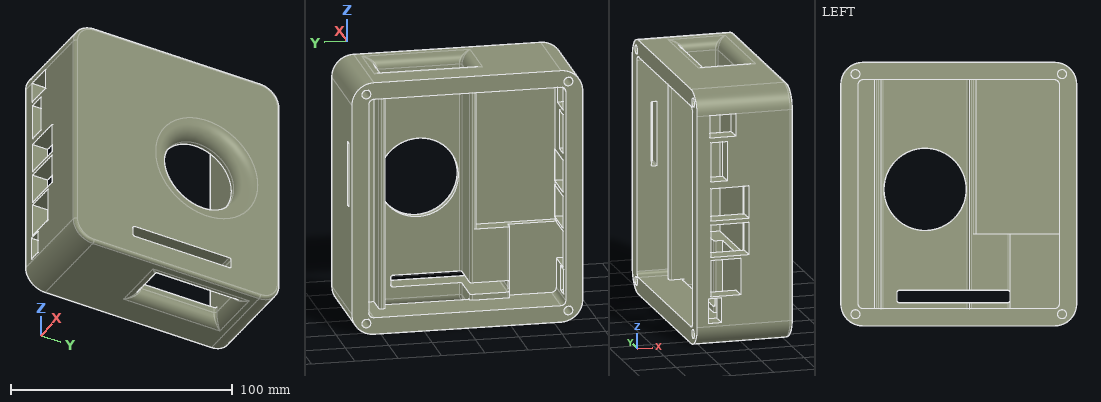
import cadquery as cq
import math

DEPTH = 45.0
WIDTH = 106.5
HEIGHT = 119.0
CORNER_RADIUS = 10.1
BACK_FILLET = 1.4

WALL = 7.9
CAVITY_RADIUS = CORNER_RADIUS - WALL
CAVITY_MAX_Y = WIDTH / 2 - WALL
CAVITY_MAX_Z = HEIGHT / 2 - WALL
POCKET_FLOOR = 23.7
SHALLOW_FLOOR = 20.5

DUCT_FLOOR = 34.9
DUCT_MIN_Y = -4.8
DUCT_MAX_Y = 35.1
DUCT_WALL = 3.0
ROUNDING = 1.0
TALL_WALL_TIP = 12.3
SHORT_WALL_TIP = 16.4

BLOCK_MAX_Z = -18.1
BLOCK_MIN_Y = -23.2

VENT_MIN_X = 18.1
VENT_FLARE = 5.0

OPENING_DIAMETER = 37.0
OPENING_Y = (DUCT_MIN_Y + DUCT_MAX_Y) / 2
OPENING_Z = 2.1
OPENING_FLARE = 8.0
CABLE_SLOT_LENGTH = 50.9
CABLE_SLOT_HEIGHT = 5.5
CABLE_SLOT_Y = 2.4
CABLE_SLOT_Z = -46.2

SCREW_DIAMETER = 4.0
SCREW_DEPTH = 11.9
SCREW_INSET_Y = 6.7
SCREW_INSET_Z = 5.4

CARD_SLOT_MIN_X = 6.8
CARD_SLOT_MAX_X = 9.5
CARD_SLOT_MIN_Z = -0.6
CARD_SLOT_MAX_Z = 29.5
CARD_SLOT_RADIUS = 0.5

WINDOWS = [
    (6.0, 18.2, 38.9, HEIGHT / 2 - CORNER_RADIUS),
    (6.4, 14.2, 18.3, 36.7),
    (6.4, 24.3, 0.0, 15.1),
    (6.4, 24.3, -17.0, -1.9),
    (6.4, SHALLOW_FLOOR, -35.5, -18.5),
    (5.4, 11.4, -47.8, -36.3),
]


def box(min_x, max_x, min_y, max_y, min_z, max_z):
    """Axis-aligned box given by its limits."""
    size = (max_x - min_x, max_y - min_y, max_z - min_z)
    return cq.Workplane("XY").box(*size, centered=False).translate((min_x, min_y, min_z))


def full_height_box(min_x, max_x, min_y, max_y):
    """Box that spans the whole height of the cavity."""
    return box(min_x, max_x, min_y, max_y, -CAVITY_MAX_Z, CAVITY_MAX_Z)


def arc_inset(radius):
    """Distance from a quarter round's middle to either of the two faces it is tangent to."""
    return radius * (1 - math.cos(math.pi / 4))


def outer_body():
    body = cq.Workplane("YZ").rect(WIDTH, HEIGHT).extrude(DEPTH)
    return body.edges("|X").fillet(CORNER_RADIUS).faces(">X").edges().fillet(BACK_FILLET)


def cavity():
    """Stepped space behind the rim: everything between the walls, duct and block."""
    deepest = cq.Workplane("YZ").rect(2 * CAVITY_MAX_Y, 2 * CAVITY_MAX_Z).extrude(DUCT_FLOOR)
    space = deepest.edges("|X").fillet(CAVITY_RADIUS)

    tall_wall_outer_y = DUCT_MAX_Y + DUCT_WALL
    short_wall_outer_y = DUCT_MIN_Y - DUCT_WALL

    duct = full_height_box(0, DUCT_FLOOR, DUCT_MIN_Y, DUCT_MAX_Y)
    duct = duct.edges("|Z and >X").fillet(ROUNDING)

    tall_side = full_height_box(TALL_WALL_TIP, DEPTH, DUCT_MAX_Y, tall_wall_outer_y)
    short_side = full_height_box(SHORT_WALL_TIP, DEPTH, short_wall_outer_y, DUCT_MIN_Y)
    block = box(SHORT_WALL_TIP, DEPTH, BLOCK_MIN_Y, DUCT_MIN_Y, -CAVITY_MAX_Z, BLOCK_MAX_Z)
    tall_side, short_side, block = (
        solid.edges("|Z and <X").fillet(ROUNDING) for solid in (tall_side, short_side, block)
    )
    duct_base = full_height_box(POCKET_FLOOR, DEPTH, DUCT_MIN_Y, DUCT_MAX_Y).cut(duct)

    side_base = full_height_box(POCKET_FLOOR, DEPTH, tall_wall_outer_y, CAVITY_MAX_Y)
    pocket_base = full_height_box(POCKET_FLOOR, DEPTH, -CAVITY_MAX_Y, short_wall_outer_y)
    shallow_base = box(SHALLOW_FLOOR, DEPTH, -CAVITY_MAX_Y, BLOCK_MIN_Y, -CAVITY_MAX_Z, BLOCK_MAX_Z)

    for solid in (tall_side, short_side, block, duct_base, side_base, pocket_base, shallow_base):
        space = space.cut(solid)
    return space


def flared_profile(plane, middle, width, length):
    """Passage along Z that widens with quarter-round flares at both ends."""
    half = width / 2
    flare_start = HEIGHT / 2 - VENT_FLARE
    end_half = half + VENT_FLARE
    inset = arc_inset(VENT_FLARE)
    mid_half = half + inset
    mid_z = HEIGHT / 2 - inset
    return (
        cq.Workplane(plane)
        .center(middle, 0)
        .moveTo(half, -flare_start)
        .lineTo(half, flare_start)
        .threePointArc((mid_half, mid_z), (end_half, HEIGHT / 2))
        .lineTo(-end_half, HEIGHT / 2)
        .threePointArc((-mid_half, mid_z), (-half, flare_start))
        .lineTo(-half, -flare_start)
        .threePointArc((-mid_half, -mid_z), (-end_half, -HEIGHT / 2))
        .lineTo(end_half, -HEIGHT / 2)
        .threePointArc((mid_half, -mid_z), (half, -flare_start))
        .close()
        .extrude(length, both=True)
    )


def vents():
    """Mitred flared passages through the top and bottom walls, in line with the duct."""
    x_profile = flared_profile("XZ", (VENT_MIN_X + DUCT_FLOOR) / 2, DUCT_FLOOR - VENT_MIN_X, WIDTH)
    y_profile = flared_profile("YZ", (DUCT_MIN_Y + DUCT_MAX_Y) / 2, DUCT_MAX_Y - DUCT_MIN_Y, DEPTH)
    passage = x_profile.intersect(y_profile).edges("|Z").fillet(ROUNDING)
    inside = full_height_box(0, DEPTH, -WIDTH, WIDTH)
    return passage.cut(inside)


def back_opening():
    """Round passage from the duct to the back face, flared towards the back."""
    radius = OPENING_DIAMETER / 2
    flare_start = DEPTH - OPENING_FLARE
    inset = arc_inset(OPENING_FLARE)
    profile = (
        cq.Workplane("XY")
        .moveTo(DUCT_FLOOR, 0)
        .lineTo(DUCT_FLOOR, radius)
        .lineTo(flare_start, radius)
        .threePointArc((DEPTH - inset, radius + inset), (DEPTH, radius + OPENING_FLARE))
        .lineTo(DEPTH, 0)
        .close()
    )
    opening = profile.revolve(360, (0, 0, 0), (1, 0, 0))
    return opening.translate((0, OPENING_Y, OPENING_Z))


def cable_slot():
    """Slot through the block, the short wall and the back wall."""
    centre = cq.Workplane("YZ").center(CABLE_SLOT_Y, CABLE_SLOT_Z)
    return centre.rect(CABLE_SLOT_LENGTH, CABLE_SLOT_HEIGHT).extrude(DEPTH).edges("|X").fillet(ROUNDING)


def screw_holes():
    spacing_y = WIDTH - 2 * SCREW_INSET_Y
    spacing_z = HEIGHT - 2 * SCREW_INSET_Z
    centres = cq.Workplane("YZ").rect(spacing_y, spacing_z, forConstruction=True).vertices()
    return centres.circle(SCREW_DIAMETER / 2).extrude(SCREW_DEPTH)


def card_slot():
    slot = box(CARD_SLOT_MIN_X, CARD_SLOT_MAX_X, CAVITY_MAX_Y, WIDTH / 2, CARD_SLOT_MIN_Z, CARD_SLOT_MAX_Z)
    return slot.edges("|Y").fillet(CARD_SLOT_RADIUS)


result = outer_body().cut(cavity())
for cutter in (vents(), back_opening(), cable_slot(), screw_holes(), card_slot()):
    result = result.cut(cutter)
for min_x, max_x, min_z, max_z in WINDOWS:
    result = result.cut(box(min_x, max_x, -WIDTH / 2, -CAVITY_MAX_Y, min_z, max_z))